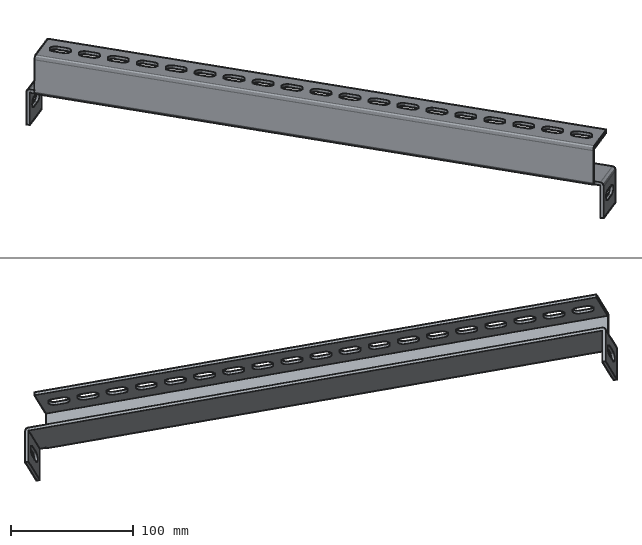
import cadquery as cq

length = 498.5
depth = 33.0
height = 66.0

sheet = 3.0
bend_radius = sheet

channel_length = 482.5
channel_height = height / 2 + sheet
channel_bottom = height - channel_height

tab_depth = depth - sheet
tab_top = channel_bottom + sheet
tab_center_y = depth - tab_depth / 2
tab_slot_z = tab_top / 2

slot_length = 18.0
slot_width = 9.0
slot_count = 19
slot_row_span = 450.0
slot_pitch = slot_row_span / (slot_count - 1)


def make_channel():
    """C-shaped rail: a web at the front with a flange above and below."""
    outside = (
        cq.Workplane("XY")
        .box(channel_length, depth, channel_height, centered=(True, False, False))
        .edges("|X and <Y")
        .fillet(bend_radius)
    )
    inside = (
        cq.Workplane("XY", origin=(0, sheet, sheet))
        .box(channel_length, depth, channel_height - 2 * sheet, centered=(True, False, False))
    )
    return outside.cut(inside).translate((0, 0, channel_bottom))


def make_tabs():
    """Strip that extends the lower flange and bends down at both ends."""
    outside = (
        cq.Workplane("XY", origin=(0, tab_center_y, 0))
        .box(length, tab_depth, tab_top, centered=(True, True, False))
        .edges("|Y and >Z")
        .fillet(bend_radius)
    )
    inside = (
        cq.Workplane("XY", origin=(0, tab_center_y, 0))
        .box(length - 2 * sheet, tab_depth, channel_bottom, centered=(True, True, False))
    )
    return outside.cut(inside)


def make_rail_slots():
    """Cutters for the row of slots in the upper flange."""
    return (
        cq.Workplane("XY", origin=(0, tab_center_y, height - sheet))
        .rarray(slot_pitch, 5, slot_count, 1)
        .slot2D(slot_length, slot_width)
        .extrude(sheet)
    )


def make_tab_slots():
    """One long cutter that passes through both end tabs."""
    return (
        cq.Workplane("YZ", origin=(0, tab_center_y, tab_slot_z))
        .slot2D(slot_length, slot_width)
        .extrude(length / 2, both=True)
    )


bracket = make_channel().union(make_tabs())
result = bracket.cut(make_rail_slots()).cut(make_tab_slots())